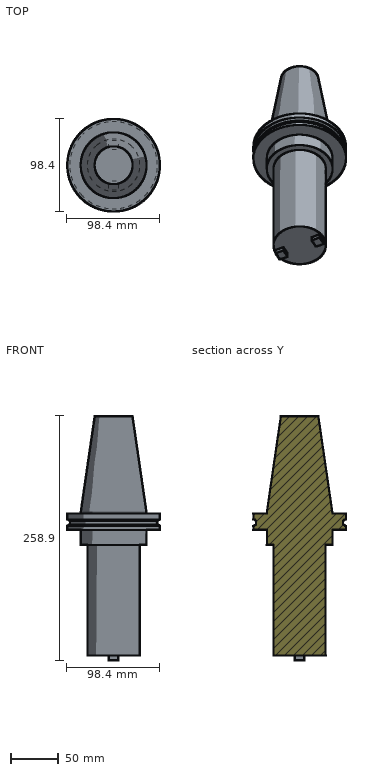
import cadquery as cq
import math


gauge_dia = 69.85
taper_length = 101.6
taper_ratio = 7 / 24
taper_tip_dia = gauge_dia - taper_ratio * taper_length

flange_dia = 98.43
flange_top_z = -1.5
flange_bottom_z = -19.05
groove_centre_z = -11.25
groove_mouth_width = 7.0
groove_root_dia = 92.7
groove_flank_angle = 30.0

collar_bottom_z = -35.0
body_dia = 55.6
body_bottom_z = -152.4

overall_length = 258.9
key_width = 10.3
key_inner_y = 16.7
key_outer_y = 26.1
key_bottom_z = taper_length - overall_length


def make_holder():
    """Revolve the taper, collar and body with the grooved flange around Z."""
    gauge_r = gauge_dia / 2
    flange_r = flange_dia / 2
    root_r = groove_root_dia / 2
    body_r = body_dia / 2

    mouth_half = groove_mouth_width / 2
    flank_drop = (flange_r - root_r) * math.tan(math.radians(groove_flank_angle))
    root_half = mouth_half - flank_drop

    profile = [
        (0, taper_length),
        (taper_tip_dia / 2, taper_length),
        (gauge_r, 0),
        (gauge_r, flange_top_z),
        (flange_r, flange_top_z),
        (flange_r, groove_centre_z + mouth_half),
        (root_r, groove_centre_z + root_half),
        (root_r, groove_centre_z - root_half),
        (flange_r, groove_centre_z - mouth_half),
        (flange_r, flange_bottom_z),
        (gauge_r, flange_bottom_z),
        (gauge_r, collar_bottom_z),
        (body_r, collar_bottom_z),
        (body_r, body_bottom_z),
        (0, body_bottom_z),
    ]
    return cq.Workplane("XZ").polyline(profile).close().revolve(360, (0, 0), (0, 1))


def make_key(side):
    """Rectangular drive key below the end face, on the +Y (1) or -Y (-1) side."""
    key_length = key_outer_y - key_inner_y
    key_centre_y = side * (key_inner_y + key_outer_y) / 2
    return (
        cq.Workplane("XY", origin=(0, key_centre_y, body_bottom_z))
        .rect(key_width, key_length)
        .extrude(key_bottom_z - body_bottom_z)
    )


result = make_holder()
for key_side in (1, -1):
    result = result.union(make_key(key_side))